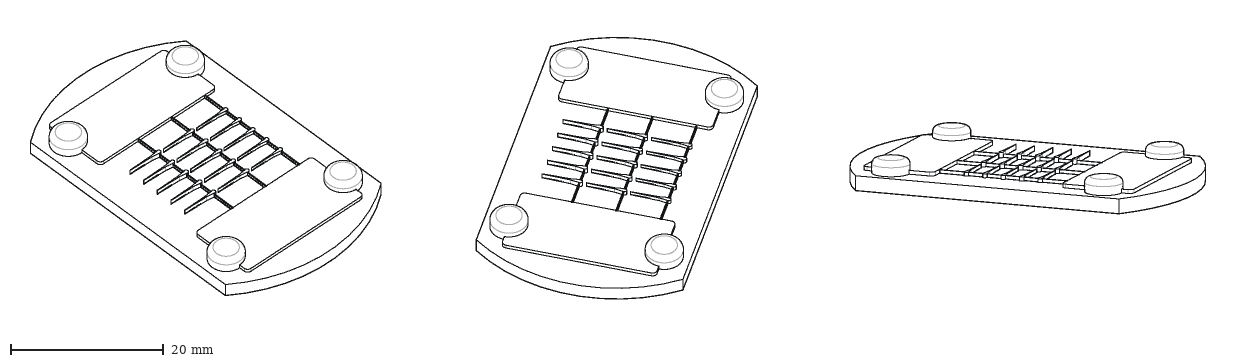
import cadquery as cq

plate_length = 46.5
plate_width = 28.0
plate_thickness = 2.0

pin_diameter = 5.0
pin_height = 2.0
pin_rounding = 0.8
pin_spacing_x = 30.05
pin_spacing_y = 21.0

pad_length = 10.0
pad_width = 20.92
pad_height = 0.5
pad_corner_radius = 0.6
pad_gap = 18.05

needle_heights = [0.5, 0.6, 0.7]
needles_per_row = 5
needle_spacing = 2.6
needle_head_diameter = 0.6
needle_head_offset = 0.1
needle_neck_width = 0.21
needle_neck_distance = 1.2
needle_tip_width = 0.05
needle_tip_distance = 5.05

row_spacing = 6.0
first_row_y = 8.35
crossbar_width = 0.15
crossbar_height = 0.45


def make_plate():
    disc = cq.Workplane("XY").circle(plate_length / 2).extrude(plate_thickness)
    sides = cq.Workplane("XY").box(plate_length, plate_width, plate_thickness, centered=(True, True, False))
    return disc.intersect(sides)


def on_plate():
    return cq.Workplane("XY").workplane(offset=plate_thickness)


def make_pads():
    pad_offset = (pad_gap + pad_length) / 2
    return (
        on_plate()
        .pushPoints([(-pad_offset, 0), (pad_offset, 0)])
        .rect(pad_length, pad_width)
        .extrude(pad_height)
        .edges("|Z")
        .fillet(pad_corner_radius)
    )


def make_pins():
    return (
        on_plate()
        .rect(pin_spacing_x, pin_spacing_y, forConstruction=True)
        .vertices()
        .circle(pin_diameter / 2)
        .extrude(pin_height)
        .faces(">Z")
        .edges()
        .fillet(pin_rounding)
    )


def make_crossbar(row_y):
    return on_plate().center(0, row_y).rect(pad_gap, crossbar_width).extrude(crossbar_height)


def make_needle(x, row_y, height):
    """Round head that narrows quickly to a neck, then slowly to a blunt tip towards -Y."""
    head_radius = needle_head_diameter / 2
    head_top = (0, needle_head_offset + head_radius)
    neck_half_width = needle_neck_width / 2
    tip_half_width = needle_tip_width / 2
    return (
        on_plate()
        .center(x, row_y)
        .moveTo(-head_radius, needle_head_offset)
        .threePointArc(head_top, (head_radius, needle_head_offset))
        .lineTo(neck_half_width, -needle_neck_distance)
        .lineTo(tip_half_width, -needle_tip_distance)
        .lineTo(-tip_half_width, -needle_tip_distance)
        .lineTo(-neck_half_width, -needle_neck_distance)
        .close()
        .extrude(height)
    )


result = make_plate().union(make_pads()).union(make_pins())

middle_column = (needles_per_row - 1) / 2
for row, height in enumerate(needle_heights):
    row_y = first_row_y - row * row_spacing
    result = result.union(make_crossbar(row_y))
    for column in range(needles_per_row):
        needle_x = (column - middle_column) * needle_spacing
        result = result.union(make_needle(needle_x, row_y, height))